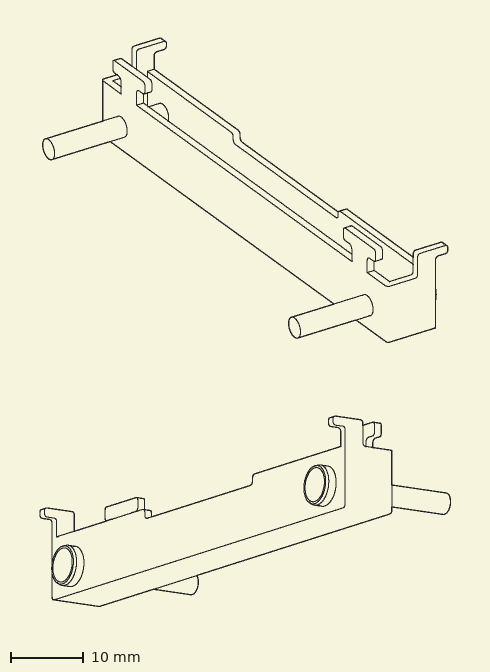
import cadquery as cq


SIDES = (-1, 1)

LENGTH = 72.05
DEPTH = 8.0
WALL = 1.15
WALL_TOP = 9.0
BEND_RADIUS = 0.5
CORNER_RADIUS = 0.4

BACK_END_TOP = 8.8
BACK_MIDDLE_TOP = 7.35
BACK_MIDDLE_LENGTH = 26.45
BACK_STEP_RADIUS = 0.54

TAB_SPACING = 58.15
TAB_TOP = 13.5
TAB_HEAD_HEIGHT = 1.95
TAB_HEAD_WIDTH = 8.1
TAB_STEM_WIDTH = 3.9
TAB_INNER_RADIUS = 0.65

HOOK_TOP = 12.7
HOOK_THICKNESS = 1.3
HOOK_TIP_Y = 10.0
HOOK_FRONT_Y = 5.05

SCREW_SPACING = 61.95
SCREW_Z = 3.9
SHANK_DIAMETER = 3.0
SHANK_TIP_Y = -11.95
HEAD_DIAMETER = 5.6
HEAD_SIDE_HEIGHT = 1.2
HEAD_RIM_HEIGHT = 1.65
RIM_TAPER = 0.15
DOME_DIAMETER = 4.75
HEAD_HEIGHT = 2.4


def make_tray_shell():
    """Open-topped tray with rounded outer edges, all walls at full height."""
    outer = (
        cq.Workplane("XY")
        .box(LENGTH, DEPTH, WALL_TOP, centered=(True, False, False))
        .edges("(|Z and <Y) or (<Z and (not >Y))")
        .fillet(BEND_RADIUS)
    )
    cavity = (
        cq.Workplane("XY")
        .box(LENGTH - 2 * WALL, DEPTH - 2 * WALL, WALL_TOP, centered=(True, False, False))
        .translate((0, WALL, WALL))
    )
    return outer.cut(cavity)


def make_back_wall_relief():
    """Volume above the back wall: shallow at the ends, deeper in the middle."""
    end_x = LENGTH / 2 - WALL
    step_x = BACK_MIDDLE_LENGTH / 2
    relief = (
        cq.Workplane("XZ", origin=(0, DEPTH, 0))
        .moveTo(-end_x, WALL_TOP)
        .lineTo(-end_x, BACK_END_TOP)
        .lineTo(-step_x, BACK_END_TOP)
        .lineTo(-step_x, BACK_MIDDLE_TOP)
        .lineTo(step_x, BACK_MIDDLE_TOP)
        .lineTo(step_x, BACK_END_TOP)
        .lineTo(end_x, BACK_END_TOP)
        .lineTo(end_x, WALL_TOP)
        .close()
        .extrude(WALL)
    )
    step_edges = cq.selectors.BoxSelector(
        (-step_x - WALL, 0, 0), (step_x + WALL, 2 * DEPTH, BACK_END_TOP + BACK_STEP_RADIUS / 2)
    )
    return relief.edges("|Y").edges(step_edges).fillet(BACK_STEP_RADIUS)


def make_tab(center_x):
    """T-shaped tab that continues the front wall upwards."""
    stem_bottom = WALL_TOP - WALL
    head_bottom = TAB_TOP - TAB_HEAD_HEIGHT
    half_stem = TAB_STEM_WIDTH / 2
    half_head = TAB_HEAD_WIDTH / 2
    tab = (
        cq.Workplane("XZ", origin=(center_x, 0, 0))
        .moveTo(-half_stem, stem_bottom)
        .lineTo(-half_stem, head_bottom)
        .lineTo(-half_head, head_bottom)
        .lineTo(-half_head, TAB_TOP)
        .lineTo(half_head, TAB_TOP)
        .lineTo(half_head, head_bottom)
        .lineTo(half_stem, head_bottom)
        .lineTo(half_stem, stem_bottom)
        .close()
        .extrude(-WALL)
    )
    inner_corners = cq.selectors.BoxSelector(
        (center_x - half_stem - WALL, -DEPTH, head_bottom - WALL / 2),
        (center_x + half_stem + WALL, DEPTH, head_bottom + WALL / 2),
    )
    tab = tab.edges("|Y").edges(inner_corners).fillet(TAB_INNER_RADIUS)
    return tab.edges("|Y and (<X or >X)").fillet(CORNER_RADIUS)


def make_hook(inner_x):
    """Side wall extension with a hook at its top, one wall thick from inner_x towards +X."""
    base_z = WALL_TOP - WALL
    hook_bottom = HOOK_TOP - HOOK_THICKNESS
    foot_y = HOOK_FRONT_Y - 2 * CORNER_RADIUS
    hook = (
        cq.Workplane("YZ", origin=(inner_x, 0, 0))
        .moveTo(foot_y, base_z)
        .lineTo(foot_y, WALL_TOP)
        .lineTo(HOOK_FRONT_Y, WALL_TOP)
        .lineTo(HOOK_FRONT_Y, HOOK_TOP)
        .lineTo(HOOK_TIP_Y, HOOK_TOP)
        .lineTo(HOOK_TIP_Y, hook_bottom)
        .lineTo(DEPTH, hook_bottom)
        .lineTo(DEPTH, base_z)
        .close()
        .extrude(WALL)
    )
    rounded_edges = cq.selectors.BoxSelector(
        (-LENGTH, HOOK_FRONT_Y - CORNER_RADIUS, WALL_TOP - CORNER_RADIUS),
        (LENGTH, HOOK_TIP_Y + WALL, HOOK_TOP + WALL),
    )
    return hook.edges("|X").edges(rounded_edges).fillet(CORNER_RADIUS)


def make_screw_hole(center_x):
    """Shank-sized hole through the front and back walls."""
    return (
        cq.Workplane("XZ", origin=(center_x, 0, SCREW_Z))
        .circle(SHANK_DIAMETER / 2)
        .extrude(-DEPTH)
    )


def make_tray():
    tray = make_tray_shell().cut(make_back_wall_relief())
    for inner_x in (-LENGTH / 2, LENGTH / 2 - WALL):
        tray = tray.union(make_hook(inner_x))
    for side in SIDES:
        tray = tray.union(make_tab(side * TAB_SPACING / 2))
        tray = tray.cut(make_screw_hole(side * SCREW_SPACING / 2))
    return tray


def make_screw(center_x):
    """Screw with a domed head seated on the back wall and a shank running forward."""
    rim_y = DEPTH + HEAD_RIM_HEIGHT
    crown_y = DEPTH + HEAD_HEIGHT
    dome_radius = DOME_DIAMETER / 2
    dome_height = crown_y - rim_y
    sphere_radius = (dome_radius**2 + dome_height**2) / (2 * dome_height)
    profile = (
        cq.Workplane("XY")
        .moveTo(0, SHANK_TIP_Y)
        .lineTo(SHANK_DIAMETER / 2, SHANK_TIP_Y)
        .lineTo(SHANK_DIAMETER / 2, DEPTH)
        .lineTo(HEAD_DIAMETER / 2, DEPTH)
        .lineTo(HEAD_DIAMETER / 2, DEPTH + HEAD_SIDE_HEIGHT)
        .lineTo(HEAD_DIAMETER / 2 - RIM_TAPER, rim_y)
        .lineTo(dome_radius, rim_y)
        .radiusArc((0, crown_y), -sphere_radius)
        .close()
    )
    return profile.revolve(360, (0, 0, 0), (0, 1, 0)).translate((center_x, 0, SCREW_Z))


tray = make_tray().solids()
screws = [make_screw(side * SCREW_SPACING / 2) for side in SIDES]

result = cq.Compound.makeCompound([tray.val(), *(screw.val() for screw in screws)])